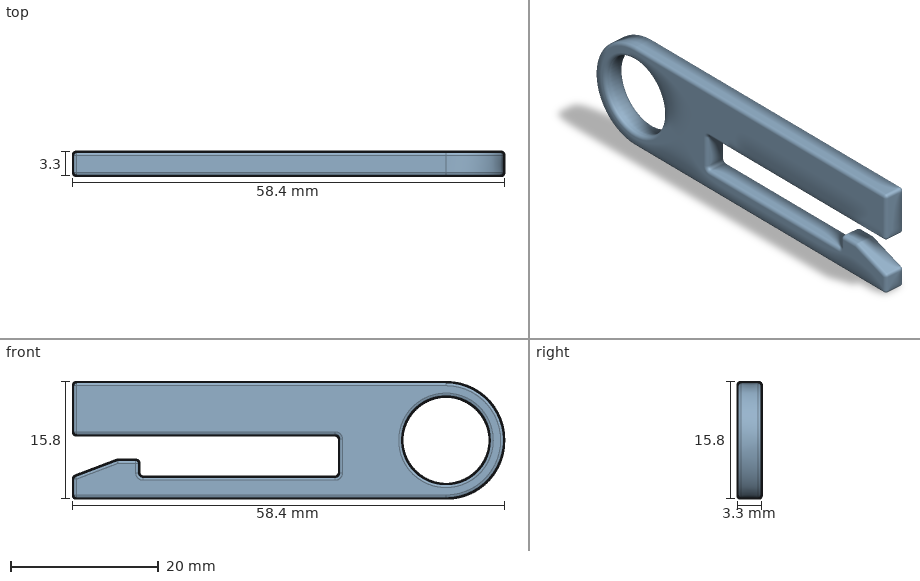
import cadquery as cq

length = 58.4
height = 15.8
thickness = 3.3
edge_radius = 0.5

ring_radius = height / 2
ring_center_x = length - ring_radius
hole_diameter = 11.8

slot_end_x = 36.0
slot_floor_z = 3.0
slot_roof_z = 8.55

hook_top_z = 5.28
hook_peak_x = 6.0
hook_back_x = 9.0
hook_tip_z = slot_floor_z


def make_body():
    """Flat bar with a round end, a slot open at the tip and a hook on the lower arm."""
    return (
        cq.Workplane("XZ")
        .lineTo(ring_center_x, 0)
        .threePointArc((length, ring_radius), (ring_center_x, height))
        .lineTo(0, height)
        .lineTo(0, slot_roof_z)
        .lineTo(slot_end_x, slot_roof_z)
        .lineTo(slot_end_x, slot_floor_z)
        .lineTo(hook_back_x, slot_floor_z)
        .lineTo(hook_back_x, hook_top_z)
        .lineTo(hook_peak_x, hook_top_z)
        .lineTo(0, hook_tip_z)
        .close()
        .extrude(thickness / 2, both=True)
    )


def make_hole():
    """Through hole concentric with the round end."""
    return (
        cq.Workplane("XZ")
        .center(ring_center_x, ring_radius)
        .circle(hole_diameter / 2)
        .extrude(thickness / 2, both=True)
    )


def round_all_edges(body):
    """Round the profile corners of the arms and slot first, then the rims of both flat faces."""
    arm_region = cq.selectors.BoxSelector(
        (-edge_radius, -thickness, -edge_radius),
        (slot_end_x + edge_radius, thickness, height + edge_radius),
    )
    corners_rounded = body.edges("|Y").edges(arm_region).fillet(edge_radius)
    return corners_rounded.faces("<Y or >Y").edges().fillet(edge_radius)


result = round_all_edges(make_body().cut(make_hole()))